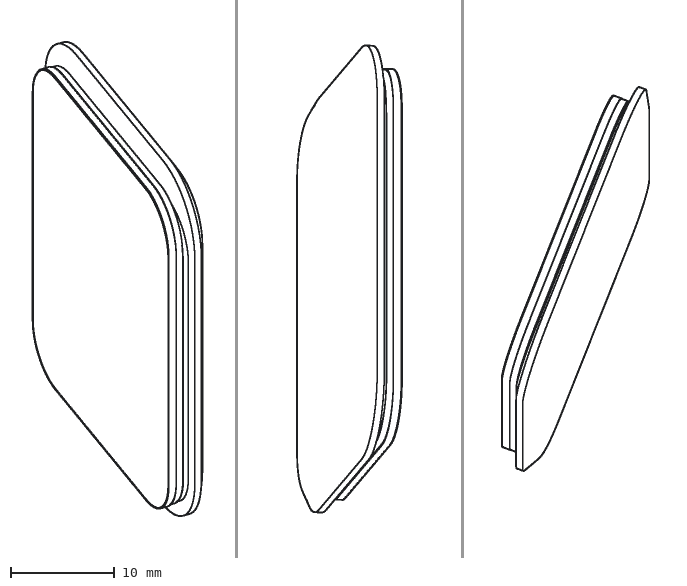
import cadquery as cq

COVER_WIDTH = 33.1
COVER_HEIGHT = 41.15
COVER_CORNER_RADIUS = 7.0
RIM_THICKNESS = 0.7
SLOPE_DEPTH = 1.1
SLOPE_RUN = 1.95
CREST_RADIUS = 2.05

NECK_WIDTH = 30.27
NECK_TOP_Z = 16.65
NECK_BOTTOM_Z = -18.75
NECK_THICKNESS = 0.55
NECK_TOP_RADIUS = 4.52
NECK_BOTTOM_RADIUS = 4.98

PANEL_CENTER_Z = -0.4
PANEL_WIDTH = 30.0
PANEL_CORNER_RADIUS = 4.98
FRONT_PANEL_HEIGHT = 37.43
FRONT_PANEL_THICKNESS = 0.8
END_STEP = 0.12
REAR_PANEL_THICKNESS = 0.7
FILM_THICKNESS = 0.1

COVER_FRONT_Y = 0.0
NECK_FRONT_Y = COVER_FRONT_Y - NECK_THICKNESS
REAR_PANEL_FRONT_Y = NECK_FRONT_Y - REAR_PANEL_THICKNESS
FRONT_PANEL_FRONT_Y = REAR_PANEL_FRONT_Y - FRONT_PANEL_THICKNESS
FILM_FRONT_Y = FRONT_PANEL_FRONT_Y - FILM_THICKNESS


def rounded_slab(width, height, thickness, front_y, center_z, top_radius, bottom_radius):
    """Upright slab, centred on X = 0, with its four outline corners rounded."""
    slab = cq.Workplane("XY").box(width, thickness, height, centered=(True, False, True))
    slab = slab.translate((0, front_y, center_z))
    slab = slab.edges("|Y").edges(">Z").fillet(top_radius)
    return slab.edges("|Y").edges("<Z").fillet(bottom_radius)


def make_cover():
    thickness = RIM_THICKNESS + SLOPE_DEPTH
    cover = rounded_slab(
        COVER_WIDTH, COVER_HEIGHT, thickness, COVER_FRONT_Y, 0, COVER_CORNER_RADIUS, COVER_CORNER_RADIUS
    )
    cover = cover.faces(">Y").chamfer(SLOPE_RUN, SLOPE_DEPTH)
    return cover.faces(">Y").edges().fillet(CREST_RADIUS)


def make_neck():
    return rounded_slab(
        NECK_WIDTH,
        NECK_TOP_Z - NECK_BOTTOM_Z,
        NECK_THICKNESS,
        NECK_FRONT_Y,
        (NECK_TOP_Z + NECK_BOTTOM_Z) / 2,
        NECK_TOP_RADIUS,
        NECK_BOTTOM_RADIUS,
    )


def make_panel(height, thickness, front_y):
    return rounded_slab(
        PANEL_WIDTH, height, thickness, front_y, PANEL_CENTER_Z, PANEL_CORNER_RADIUS, PANEL_CORNER_RADIUS
    )


cover = make_cover()
neck = make_neck()
stepped_height = FRONT_PANEL_HEIGHT - 2 * END_STEP
rear_panel = make_panel(stepped_height, REAR_PANEL_THICKNESS, REAR_PANEL_FRONT_Y)
front_panel = make_panel(FRONT_PANEL_HEIGHT, FRONT_PANEL_THICKNESS, FRONT_PANEL_FRONT_Y)
film = make_panel(stepped_height, FILM_THICKNESS, FILM_FRONT_Y)

result = cq.Compound.makeCompound(
    [cover.val(), neck.val(), rear_panel.val(), front_panel.val(), film.val()]
)